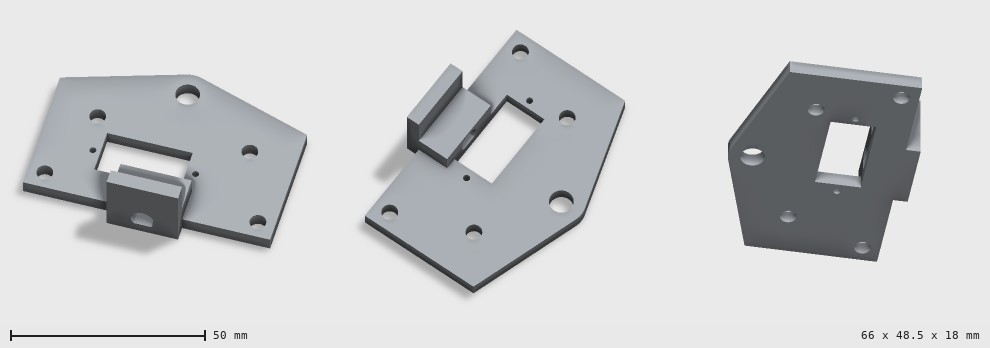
import cadquery as cq
import math

plate_width = 66.04
plate_depth = 44.70
plate_thickness = 3.81
shoulder_y = 34.54
apex_radius = 6.35

apex_hole_diameter = 6.35
apex_hole_y = plate_depth - apex_radius
mount_hole_diameter = 4.32
rear_hole_spacing = 40.64
rear_hole_y = 25.40
front_hole_spacing = 56.90
front_hole_y = 4.57

window_length = 22.86
window_width = 11.94
window_x = -5.08
screw_hole_diameter = 1.78
screw_hole_spacing = 27.43
screw_hole_mid_x = -4.83
screw_hole_y = 14.73

bracket_width = 19.05
wall_height = 18.03
wall_thickness = plate_thickness
step_height = 8.89
step_depth = 8.99

bore_diameter = 6.22
bore_z = 4.78
bore_flat_z = 2.74


def make_plate():
    """Five-sided plate whose rear point is rounded by a tangent arc."""
    half_width = plate_width / 2
    arc_centre_y = plate_depth - apex_radius
    rise = arc_centre_y - shoulder_y
    corner_to_centre = math.hypot(half_width, rise)
    slope = math.atan2(rise, half_width) + math.asin(apex_radius / corner_to_centre)
    tangent_x = apex_radius * math.sin(slope)
    tangent_y = arc_centre_y + apex_radius * math.cos(slope)
    return (
        cq.Workplane("XY")
        .moveTo(-half_width, 0)
        .lineTo(half_width, 0)
        .lineTo(half_width, shoulder_y)
        .lineTo(tangent_x, tangent_y)
        .threePointArc((0, plate_depth), (-tangent_x, tangent_y))
        .lineTo(-half_width, shoulder_y)
        .close()
        .extrude(plate_thickness)
    )


def make_plate_holes(diameter, centres):
    """Round cutters through the plate thickness."""
    return cq.Workplane("XY").pushPoints(centres).circle(diameter / 2).extrude(plate_thickness)


def mirrored_pair(spacing, y, mid_x=0):
    """Two points at equal distances either side of mid_x."""
    return [(mid_x + side * spacing / 2, y) for side in (-1, 1)]


def make_window():
    """Rectangular cutter that starts at the rear face of the bracket step."""
    return (
        cq.Workplane("XY")
        .center(window_x, step_depth + window_width / 2)
        .rect(window_length, window_width)
        .extrude(plate_thickness)
    )


def make_bracket():
    """L-shaped bracket profile extruded across its width."""
    return (
        cq.Workplane("YZ")
        .moveTo(-wall_thickness, 0)
        .lineTo(step_depth, 0)
        .lineTo(step_depth, step_height)
        .lineTo(0, step_height)
        .lineTo(0, wall_height)
        .lineTo(-wall_thickness, wall_height)
        .close()
        .extrude(bracket_width / 2, both=True)
    )


def make_bore():
    """D-shaped cutter running from the wall's front face to the window."""
    bore_radius = bore_diameter / 2
    half_flat = math.sqrt(bore_radius**2 - (bore_z - bore_flat_z) ** 2)
    return (
        cq.Workplane("XZ", origin=(0, step_depth, 0))
        .moveTo(-half_flat, bore_flat_z)
        .lineTo(half_flat, bore_flat_z)
        .threePointArc((0, bore_z + bore_radius), (-half_flat, bore_flat_z))
        .close()
        .extrude(step_depth + wall_thickness)
    )


plate = make_plate().cut(make_window())
hole_groups = [
    (apex_hole_diameter, [(0, apex_hole_y)]),
    (mount_hole_diameter, mirrored_pair(rear_hole_spacing, rear_hole_y)),
    (mount_hole_diameter, mirrored_pair(front_hole_spacing, front_hole_y)),
    (screw_hole_diameter, mirrored_pair(screw_hole_spacing, screw_hole_y, screw_hole_mid_x)),
]
for hole_diameter, hole_centres in hole_groups:
    plate = plate.cut(make_plate_holes(hole_diameter, hole_centres))

result = plate.union(make_bracket()).cut(make_bore())